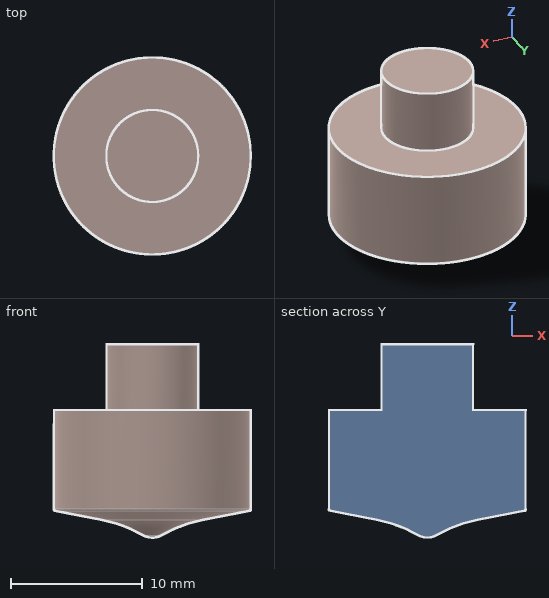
import cadquery as cq
import math

body_radius = 7.5
pin_radius = 7.0 / 2
pin_height = 5.0
total_height = 14.73
rim_fillet = 0.15

cone_angle = math.radians(11)
flare_angle = math.radians(30)
tip_radius = 1.41
flare_outer_radius = 3.8

shoulder_z = total_height - pin_height


def tip_point(angle):
    """Point (r, z) on the convex tip where its slope is the given angle."""
    return tip_radius * math.sin(angle), tip_radius * (1 - math.cos(angle))


tip_end = tip_point(flare_angle)
flare_radius = (flare_outer_radius - tip_end[0]) / (math.sin(flare_angle) - math.sin(cone_angle))


def flare_point(angle):
    """Point (r, z) on the concave flare where its slope is the given angle."""
    r = tip_end[0] + flare_radius * (math.sin(flare_angle) - math.sin(angle))
    z = tip_end[1] + flare_radius * (math.cos(angle) - math.cos(flare_angle))
    return r, z


flare_end = flare_point(cone_angle)
rim_z = flare_end[1] + (body_radius - flare_end[0]) * math.tan(cone_angle)

profile = (
    cq.Workplane("XZ")
    .moveTo(0, 0)
    .threePointArc(tip_point(flare_angle / 2), tip_end)
    .threePointArc(flare_point((flare_angle + cone_angle) / 2), flare_end)
    .lineTo(body_radius, rim_z)
    .lineTo(body_radius, shoulder_z)
    .lineTo(pin_radius, shoulder_z)
    .lineTo(pin_radius, total_height)
    .lineTo(0, total_height)
    .close()
)
turned = profile.revolve(360, (0, 0, 0), (0, 1, 0))

rim_margin = 0.02
rim_edges = cq.selectors.BoxSelector(
    (-2 * body_radius, -2 * body_radius, rim_z - rim_margin),
    (2 * body_radius, 2 * body_radius, rim_z + rim_margin),
)
result = turned.edges(rim_edges).edges("%CIRCLE").fillet(rim_fillet)